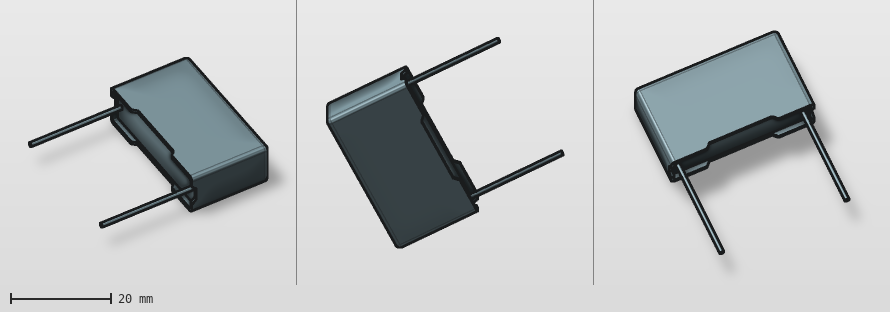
import cadquery as cq

housing_width = 31.5
housing_height = 9.5
overall_length = 38.0
lead_reach = 20.0
housing_depth = overall_length - lead_reach

edge_radius = 1.0
wall = 0.72
recess_corner_radius = edge_radius - wall
recess_depth = 1.25

notch_depth = 1.0
long_notch_mouth = housing_width / 2
short_notch_mouth = housing_height / 2

lead_diameter = 1.0
lead_spacing = 27.5


def notch_cutter(plane, mouth, through):
    """Trapezoid cut into the rim, extruded both ways across the whole housing."""
    half_mouth = mouth / 2
    half_floor = half_mouth - notch_depth
    return (
        cq.Workplane(plane)
        .moveTo(-half_mouth, 0)
        .lineTo(half_mouth, 0)
        .lineTo(half_floor, notch_depth)
        .lineTo(-half_floor, notch_depth)
        .close()
        .extrude(through / 2, both=True)
    )


def make_housing():
    """Rounded box with a shallow recess in its open face and a notch in each rim side."""
    block = (
        cq.Workplane("XZ")
        .rect(housing_width, housing_height)
        .extrude(-housing_depth)
        .edges("|Y or >Y")
        .fillet(edge_radius)
    )
    recess = (
        cq.Workplane("XZ")
        .rect(housing_width - 2 * wall, housing_height - 2 * wall)
        .extrude(-recess_depth)
        .edges("|Y")
        .fillet(recess_corner_radius)
    )
    long_side_notches = notch_cutter("XY", long_notch_mouth, housing_height)
    end_plane = cq.Plane(origin=(0, 0, 0), xDir=(0, 0, 1), normal=(-1, 0, 0))
    short_side_notches = notch_cutter(end_plane, short_notch_mouth, housing_width)
    return block.cut(recess).cut(long_side_notches).cut(short_side_notches)


def make_lead(x):
    """Straight round wire standing on the recess floor."""
    return (
        cq.Workplane("XZ", origin=(x, recess_depth, 0))
        .circle(lead_diameter / 2)
        .extrude(recess_depth + lead_reach)
    )


housing = make_housing()
leads = [make_lead(side * lead_spacing / 2) for side in (-1, 1)]

result = cq.Compound.makeCompound([housing.val(), *[lead.val() for lead in leads]])